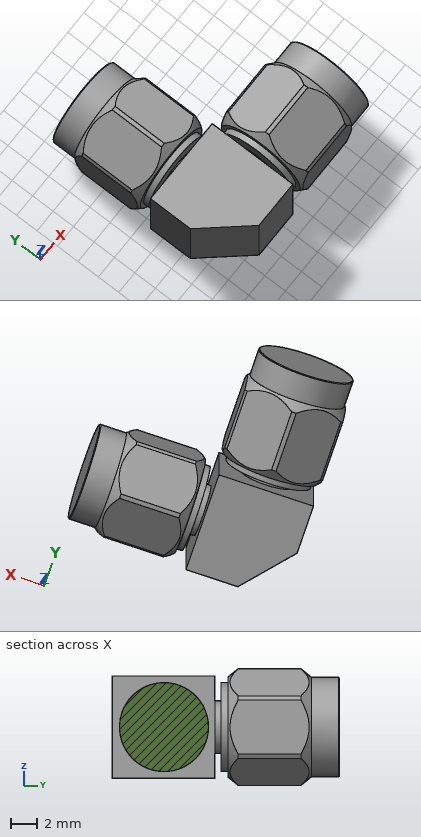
import cadquery as cq


overall_size = 17.46

hex_across_flats = 7.96
hex_corner_diameter = 9.0
hex_bevel_length = 0.8

collar_start = 4.38
hex_start = 4.9
hex_end = 11.33
port_end = overall_size - hex_across_flats / 2

neck_diameter = 4.07
collar_diameter = 6.86
barrel_diameter = 7.68
rim_chamfer = 0.07

body_width = 7.68
body_depth = 7.9
body_height = 7.9
body_front = -hex_across_flats / 2
body_back = body_front + body_depth
cut_corner_x = -0.37
cut_corner_y = 0.0


def make_body():
    """Block whose vertical corner opposite the ports is cut off by a flat face."""
    half_width = body_width / 2
    outline = [
        (cut_corner_x, body_front),
        (half_width, body_front),
        (half_width, body_back),
        (-half_width, body_back),
        (-half_width, cut_corner_y),
    ]
    return (
        cq.Workplane("XY")
        .workplane(offset=-body_height / 2)
        .polyline(outline)
        .close()
        .extrude(body_height)
    )


def axial_cylinder(diameter, start, end):
    """Cylinder around the X axis between two stations."""
    return (
        cq.Workplane("YZ")
        .workplane(offset=start)
        .circle(diameter / 2)
        .extrude(end - start)
    )


def make_nut():
    """Hexagonal nut with corners up and down, turned round and bevelled at both ends."""
    prism = (
        cq.Workplane("YZ")
        .workplane(offset=hex_start)
        .polygon(6, hex_across_flats, circumscribed=True)
        .extrude(hex_end - hex_start)
    )
    bevel_radius = barrel_diameter / 2
    corner_radius = hex_corner_diameter / 2
    turned_profile = [
        (hex_start, 0),
        (hex_start, bevel_radius),
        (hex_start + hex_bevel_length, corner_radius),
        (hex_end - hex_bevel_length, corner_radius),
        (hex_end, bevel_radius),
        (hex_end, 0),
    ]
    turned_blank = (
        cq.Workplane("XY")
        .polyline(turned_profile)
        .close()
        .revolve(360, (0, 0, 0), (1, 0, 0))
    )
    return prism.intersect(turned_blank)


def make_port():
    """Neck, collar, nut and end barrel of the port along +X."""
    neck = axial_cylinder(neck_diameter, 0, collar_start)
    collar = axial_cylinder(collar_diameter, collar_start, hex_start)
    barrel = axial_cylinder(barrel_diameter, hex_end, port_end)
    barrel = barrel.faces(">X").chamfer(rim_chamfer)
    return neck.union(collar).union(make_nut()).union(barrel)


port_x = make_port()
port_y = port_x.rotate((0, 0, 0), (0, 0, 1), 90)
result = make_body().union(port_x).union(port_y)